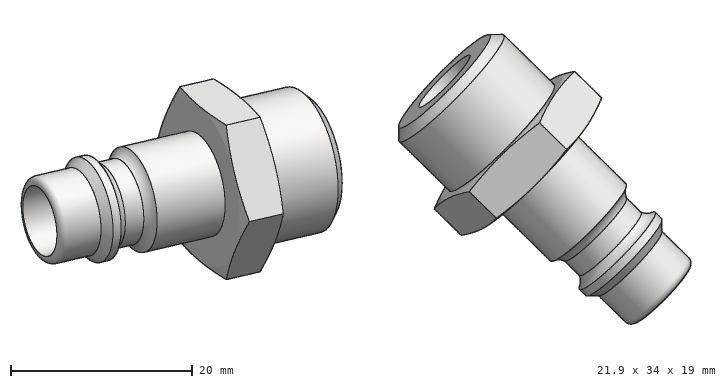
import cadquery as cq
import math

LENGTH = 34.0
BORE_RADIUS = 4.0

TIP_RADIUS = 5.0
TIP_ROUNDING = 0.78
COLLAR_RADIUS = 6.0
COLLAR_START = 6.0
COLLAR_END = 7.0
TIP_END = COLLAR_START - (COLLAR_RADIUS - TIP_RADIUS)

NECK_RADIUS = 4.9
FLARE_LENGTH = COLLAR_RADIUS - NECK_RADIUS
FLARE_ARC_RADIUS = 2.0
NECK_START = COLLAR_END + FLARE_LENGTH
STEM_START = 11.5
NECK_END = STEM_START - FLARE_LENGTH

HEX_START = 20.0
HEX_LENGTH = 5.03
HEX_END = HEX_START + HEX_LENGTH
HEX_FLATS = 19.0
HEX_CORNERS = HEX_FLATS / math.cos(math.radians(30))
HEX_CHAMFER_ANGLE = 15.0

THREAD_RADIUS = 8.25
THREAD_CHAMFER = 1.1


def make_body():
    """Revolve the stepped outer profile, given as (radius, Y), about the Y axis."""
    diagonal = math.sqrt(0.5)
    tip_arc_middle = (
        TIP_RADIUS - TIP_ROUNDING * (1 - diagonal),
        TIP_ROUNDING * (1 - diagonal),
    )
    return (
        cq.Workplane("XY")
        .lineTo(TIP_RADIUS - TIP_ROUNDING, 0)
        .threePointArc(tip_arc_middle, (TIP_RADIUS, TIP_ROUNDING))
        .lineTo(TIP_RADIUS, TIP_END)
        .lineTo(COLLAR_RADIUS, COLLAR_START)
        .lineTo(COLLAR_RADIUS, COLLAR_END)
        .radiusArc((NECK_RADIUS, NECK_START), FLARE_ARC_RADIUS)
        .lineTo(NECK_RADIUS, NECK_END)
        .radiusArc((COLLAR_RADIUS, STEM_START), FLARE_ARC_RADIUS)
        .lineTo(COLLAR_RADIUS, HEX_START)
        .lineTo(THREAD_RADIUS, HEX_START)
        .lineTo(THREAD_RADIUS, LENGTH - THREAD_CHAMFER)
        .lineTo(THREAD_RADIUS - THREAD_CHAMFER, LENGTH)
        .lineTo(0, LENGTH)
        .close()
        .revolve(360, (0, 0), (0, 1))
    )


def make_hexagon():
    """Hexagonal prism with its corners cut conically on both ends."""
    prism = (
        cq.Workplane("XZ", origin=(0, HEX_START, 0))
        .polygon(6, HEX_CORNERS)
        .extrude(-HEX_LENGTH)
    )
    face_radius = HEX_FLATS / 2
    corner_radius = HEX_CORNERS / 2
    corner_drop = (corner_radius - face_radius) * math.tan(math.radians(HEX_CHAMFER_ANGLE))
    envelope = (
        cq.Workplane("XY")
        .moveTo(0, HEX_START)
        .lineTo(face_radius, HEX_START)
        .lineTo(corner_radius, HEX_START + corner_drop)
        .lineTo(corner_radius, HEX_END - corner_drop)
        .lineTo(face_radius, HEX_END)
        .lineTo(0, HEX_END)
        .close()
        .revolve(360, (0, 0), (0, 1))
    )
    return prism.intersect(envelope)


bore = cq.Workplane("XZ").circle(BORE_RADIUS).extrude(-LENGTH)
result = make_body().union(make_hexagon()).cut(bore)